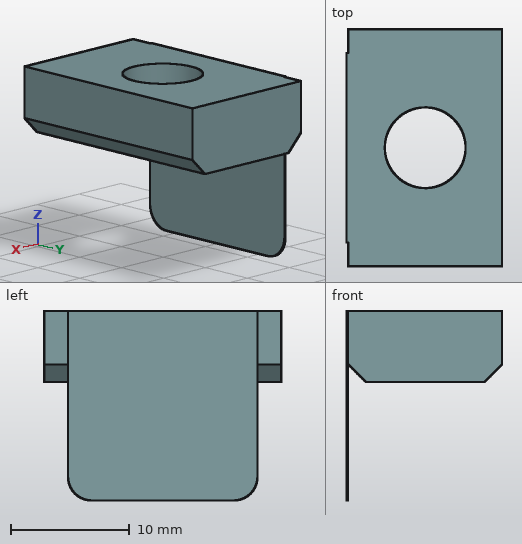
import cadquery as cq

block_width = 13.0
block_length = 20.0
block_height = 6.0
chamfer_size = 1.5
hole_diameter = 6.8

plate_thickness = 0.15
plate_width = 16.0
plate_height = 16.0
plate_corner_radius = 2.0


def make_block():
    """Block with its top at Z = 0, chamfered long bottom edges and a through hole."""
    block = cq.Workplane("XY").box(
        block_width, block_length, block_height, centered=(True, True, False)
    )
    block = block.translate((0, 0, -block_height))
    block = block.faces("<Z").edges("|Y").chamfer(chamfer_size)
    return block.faces(">Z").workplane().hole(hole_diameter)


def make_plate():
    """Upright plate with rounded bottom corners, touching the block's -X face."""
    plate = cq.Workplane("XY").box(plate_thickness, plate_width, plate_height)
    plate = plate.faces("<Z").edges("|X").fillet(plate_corner_radius)
    center_x = -(block_width + plate_thickness) / 2
    return plate.translate((center_x, 0, -plate_height / 2))


result = make_block().union(make_plate())